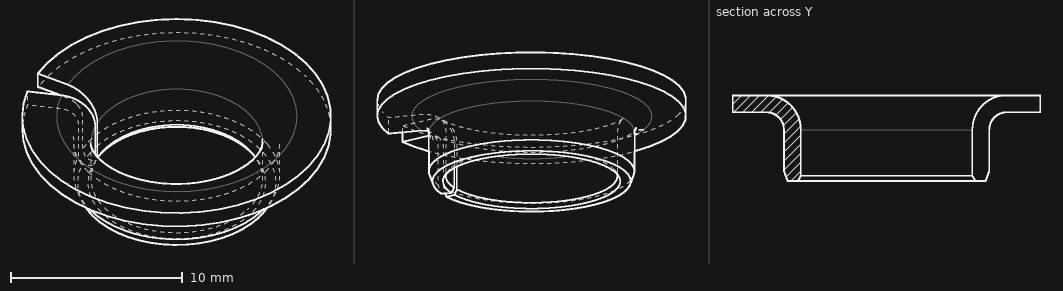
import cadquery as cq
import math

flange_radius = 9.0
flange_thickness = 1.0
bore_radius = 5.0
wall = 1.0
height = 5.0

lead_in_height = 0.6
lead_in_angle = 20.0

bore_chamfer_height = 0.3
bore_chamfer_angle = 30.0

split_half_angle = 10.0
split_apex_radius = 4.0
split_clearance = 1.0

sleeve_radius = bore_radius + wall
outer_fillet = wall
inner_fillet = outer_fillet + flange_thickness
fillet_center_radius = bore_radius + inner_fillet
lead_in_depth = lead_in_height * math.tan(math.radians(lead_in_angle))
bore_chamfer_depth = bore_chamfer_height * math.tan(math.radians(bore_chamfer_angle))
arc_factor = math.sqrt(0.5)


def bushing_body():
    """Revolve the wall section: sleeve, flared throat and flange."""
    inner_mid = (
        fillet_center_radius - inner_fillet * arc_factor,
        -inner_fillet + inner_fillet * arc_factor,
    )
    outer_mid = (
        fillet_center_radius - outer_fillet * arc_factor,
        -inner_fillet + outer_fillet * arc_factor,
    )
    section = (
        cq.Workplane("XZ")
        .moveTo(bore_radius, -height + bore_chamfer_height)
        .lineTo(bore_radius + bore_chamfer_depth, -height)
        .lineTo(sleeve_radius - lead_in_depth, -height)
        .lineTo(sleeve_radius, -height + lead_in_height)
        .lineTo(sleeve_radius, -inner_fillet)
        .threePointArc(outer_mid, (fillet_center_radius, -flange_thickness))
        .lineTo(flange_radius, -flange_thickness)
        .lineTo(flange_radius, 0)
        .lineTo(fillet_center_radius, 0)
        .threePointArc(inner_mid, (bore_radius, -inner_fillet))
        .close()
    )
    body = section.revolve(360, (0, 0, 0), (0, 1, 0))
    return body.rotate((0, 0, 0), (0, 0, 1), 180)


def split_wedge():
    """Triangular prism whose flanks spread from an apex inside the bore."""
    slope = math.tan(math.radians(split_half_angle))
    apex_x = -split_apex_radius
    outer_x = -flange_radius - split_clearance
    outer_half_width = (apex_x - outer_x) * slope
    return (
        cq.Workplane("XY")
        .polyline([(apex_x, 0), (outer_x, outer_half_width), (outer_x, -outer_half_width)])
        .close()
        .extrude(-height)
    )


result = bushing_body().cut(split_wedge())